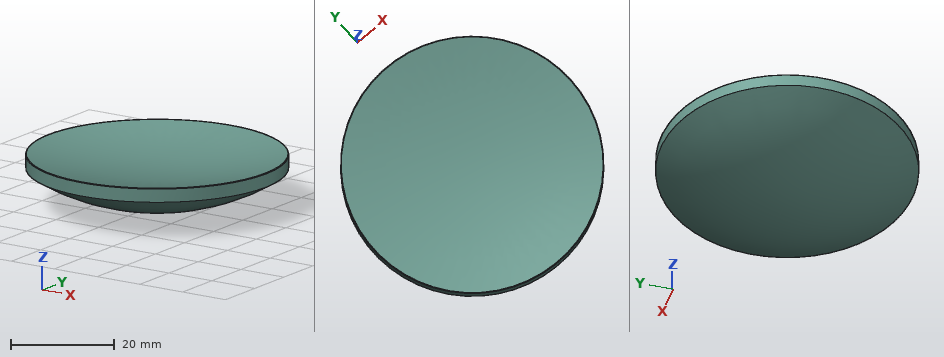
import cadquery as cq

diameter = 50.8
total_height = 10.2
rim_height = 2.8
concave_depth = 2.5
bevel = 0.15

radius = diameter / 2
inner_radius = radius - bevel
rim_bottom = total_height - rim_height


def sphere_radius(half_chord, sag):
    """Radius of the sphere with the given sag over a half chord."""
    return (half_chord**2 + sag**2) / (2 * sag)


def sag_at(sphere, distance):
    """Depth of a spherical surface at a distance from its axis."""
    return sphere - (sphere**2 - distance**2) ** 0.5


convex_radius = sphere_radius(radius, rim_bottom)
concave_radius = sphere_radius(inner_radius, concave_depth)
concave_bottom = total_height - concave_depth
mid_distance = radius / 2

profile = (
    cq.Workplane("XZ")
    .moveTo(0, 0)
    .threePointArc((mid_distance, sag_at(convex_radius, mid_distance)), (radius, rim_bottom))
    .lineTo(radius, total_height - bevel)
    .lineTo(inner_radius, total_height)
    .threePointArc(
        (mid_distance, concave_bottom + sag_at(concave_radius, mid_distance)),
        (0, concave_bottom),
    )
    .close()
)

result = profile.revolve(360, (0, 0, 0), (0, 1, 0))